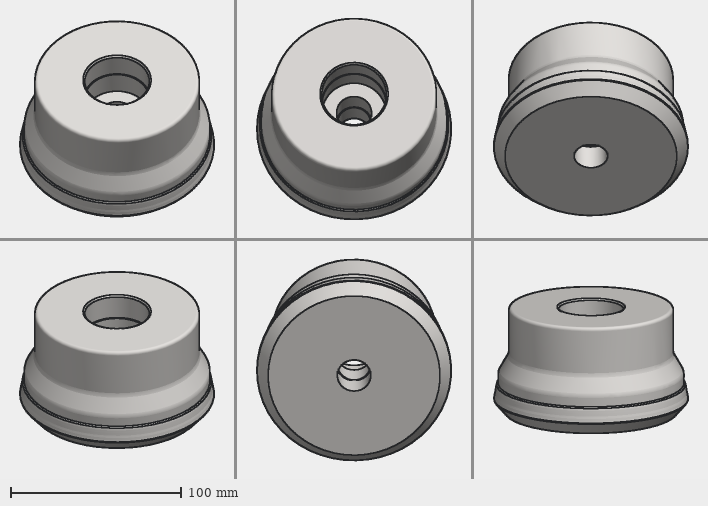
import cadquery as cq
import math


RING_TOP_Z = 17.2
RING_FOOT_R = 50.5
RING_FOOT_CHAMFER = 0.5
RING_NOSE = (56.8, 7.3)
RING_FLANK = [(57.1, 8.0), (56.8, 9.0), (56.6, 10.4), (56.3, 11.8), (56.0, 13.5), (55.8, 15.1), (55.5, 16.4)]
RING_BORE_R = 9.8

TOTAL_HEIGHT = 63.5
HUB_R = 48.4
FLANGE_R = 54.6
FLANGE_TOP_Z = 24.0
TAPER_ANGLE = 30.0
TAPER_HEIGHT = (FLANGE_R - HUB_R) / math.tan(math.radians(TAPER_ANGLE))
TAPER_TOP_Z = FLANGE_TOP_Z + TAPER_HEIGHT
TAPER_BLEND_R = 5.0
TOP_EDGE_R = 2.0

BORE_R = 19.0
BORE_DEPTH = 29.7
BORE_FLOOR_Z = TOTAL_HEIGHT - BORE_DEPTH
BORE_CHAMFER = 1.0
BORE_STEP_DEPTH = 15.0
BORE_STEP = 0.2
BORE_STEP_BEVEL = 0.5
BORE_LOWER_R = BORE_R - BORE_STEP
SCREW_HOLE_R = 10.3


def revolve_profile(points):
    """Solid of revolution about Z from a closed (radius, height) outline."""
    return cq.Workplane("XZ").polyline(points).close().revolve(360, (0, 0, 0), (0, 1, 0))


def make_cutting_ring():
    """Ring below the holder, with a facetted flank and a bevelled foot."""
    outline = [
        (RING_BORE_R, 0),
        (RING_FOOT_R, 0),
        (RING_FOOT_R + RING_FOOT_CHAMFER, RING_FOOT_CHAMFER),
        RING_NOSE,
        *RING_FLANK,
        (FLANGE_R, RING_TOP_Z),
        (RING_BORE_R, RING_TOP_Z),
    ]
    return revolve_profile(outline)


def holder_blank():
    """Hub, taper and flange, with the corners between them rounded."""
    outline = [
        (0, RING_TOP_Z),
        (FLANGE_R, RING_TOP_Z),
        (FLANGE_R, FLANGE_TOP_Z),
        (HUB_R, TAPER_TOP_Z),
        (HUB_R, TOTAL_HEIGHT),
        (0, TOTAL_HEIGHT),
    ]
    blank = revolve_profile(outline)
    blank = blank.faces(">Z").edges().fillet(TOP_EDGE_R)
    taper_edges = cq.selectors.BoxSelector(
        (-FLANGE_R, -FLANGE_R, FLANGE_TOP_Z - TAPER_BLEND_R),
        (FLANGE_R, FLANGE_R, TAPER_TOP_Z + TAPER_BLEND_R),
    )
    return blank.edges("%CIRCLE").edges(taper_edges).fillet(TAPER_BLEND_R)


def holder_bore():
    """Space of the bore: entry chamfer, fine step, flat floor and screw hole."""
    step_z = TOTAL_HEIGHT - BORE_STEP_DEPTH
    outline = [
        (0, RING_TOP_Z),
        (SCREW_HOLE_R, RING_TOP_Z),
        (SCREW_HOLE_R, BORE_FLOOR_Z),
        (BORE_LOWER_R, BORE_FLOOR_Z),
        (BORE_LOWER_R, step_z - BORE_STEP_BEVEL),
        (BORE_R, step_z),
        (BORE_R, TOTAL_HEIGHT - BORE_CHAMFER),
        (BORE_R + BORE_CHAMFER, TOTAL_HEIGHT),
        (0, TOTAL_HEIGHT),
    ]
    return revolve_profile(outline)


def make_holder():
    return holder_blank().cut(holder_bore())


cutting_ring = make_cutting_ring()
holder = make_holder()

result = cq.Compound.makeCompound([cutting_ring.val(), holder.val()])